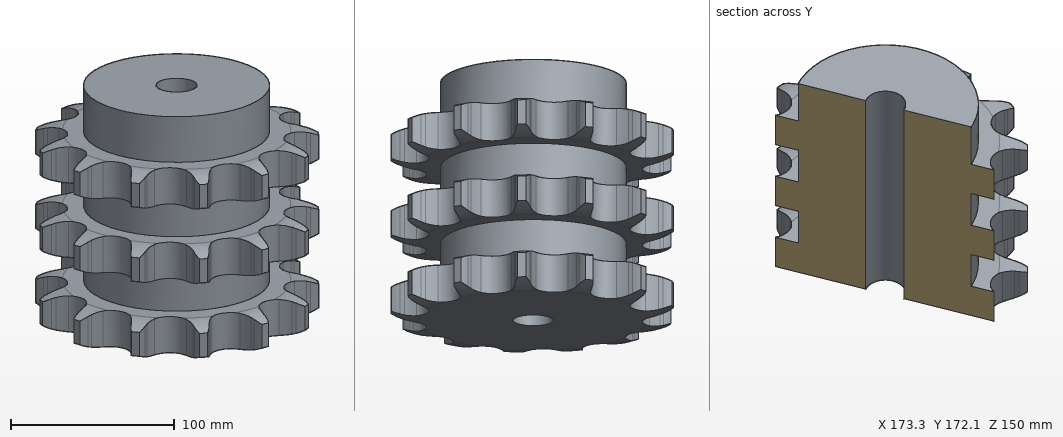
import cadquery as cq
import math


tooth_count = 13
pitch_radius = 159.2 / 2
roller_diameter = 25.3
seat_clearance = 0.1
tip_radius = 87.0

working_ratio = 0.8
topping_ratio = 1.4

strand_count = 3
strand_spacing = 48.4
rim_width = 23.6
crown_start_radius = 69.9
crown_arc_radius = 38.2

hub_diameter = 114.0
hub_height = 150.0
bore_diameter = 25.0

half_pitch_angle = math.pi / tooth_count
quarter_turn = math.pi / 2


def polar(radius, angle):
    """Point at a radius and an angle in radians, about the origin."""
    return (radius * math.cos(angle), radius * math.sin(angle))


def offset(center, radius, angle):
    """Point at a radius and an angle in radians, about a given centre."""
    x, y = polar(radius, angle)
    return (center[0] + x, center[1] + y)


def turned(point, angle):
    """Point turned about the sprocket axis."""
    x, y = point
    cos_a, sin_a = math.cos(angle), math.sin(angle)
    return (x * cos_a - y * sin_a, x * sin_a + y * cos_a)


def right_flank():
    """Flank from the root of the gap centred on +Y to the tooth tip on its right.

    Returns root, seat middle, seat end, working middle, working end, line end, topping middle, tip.
    """
    seat_center = (0, pitch_radius)
    seat_angle = math.radians(35 + 60 / tooth_count)
    working_angle = math.radians(18 - 56 / tooth_count)
    topping_angle = math.radians(17 - 64 / tooth_count)
    line_angle = seat_angle - working_angle

    seat_radius = roller_diameter / 2 + seat_clearance
    root = offset(seat_center, seat_radius, -quarter_turn)
    seat_middle = offset(seat_center, seat_radius, -(quarter_turn + seat_angle) / 2)
    seat_end = offset(seat_center, seat_radius, -seat_angle)

    working_center = offset(seat_center, working_ratio * roller_diameter, math.pi - seat_angle)
    working_radius = seat_radius + working_ratio * roller_diameter
    working_middle = offset(working_center, working_radius, -(seat_angle + line_angle) / 2)
    working_end = offset(working_center, working_radius, -line_angle)

    line_length = roller_diameter * (
        topping_ratio * math.sin(topping_angle) - working_ratio * math.sin(working_angle)
    )
    line_end = offset(working_end, line_length, quarter_turn - line_angle)

    topping_center = offset(seat_center, topping_ratio * roller_diameter, -half_pitch_angle)
    topping_radius = math.dist(topping_center, line_end)
    center_distance = math.hypot(*topping_center)
    tip_offset = math.acos(
        (center_distance**2 + tip_radius**2 - topping_radius**2) / (2 * center_distance * tip_radius)
    )
    tip = polar(tip_radius, math.atan2(topping_center[1], topping_center[0]) + tip_offset)
    chord_middle = ((line_end[0] + tip[0]) / 2, (line_end[1] + tip[1]) / 2)
    middle_angle = math.atan2(chord_middle[1] - topping_center[1], chord_middle[0] - topping_center[0])
    topping_middle = offset(topping_center, topping_radius, middle_angle)

    return root, seat_middle, seat_end, working_middle, working_end, line_end, topping_middle, tip


def toothed_plate():
    """Flat plate with the full tooth outline."""
    right = right_flank()
    left = [(-x, y) for x, y in right]
    outline = cq.Workplane("XY").moveTo(*right[0])
    for index in range(tooth_count):
        turn = -2 * half_pitch_angle * index
        next_turn = turn - 2 * half_pitch_angle
        _, seat_mid, seat_end, work_mid, work_end, line_end, top_mid, tip = (
            turned(point, turn) for point in right
        )
        tip_middle = polar(tip_radius, quarter_turn + turn - half_pitch_angle)
        outline = (
            outline.threePointArc(seat_mid, seat_end)
            .threePointArc(work_mid, work_end)
            .lineTo(*line_end)
            .threePointArc(top_mid, tip)
        )
        root, seat_mid, seat_end, work_mid, work_end, line_end, top_mid, tip = (
            turned(point, next_turn) for point in left
        )
        outline = (
            outline.threePointArc(tip_middle, tip)
            .threePointArc(top_mid, line_end)
            .lineTo(*work_end)
            .threePointArc(work_mid, seat_end)
            .threePointArc(seat_mid, root)
        )
    return outline.close().extrude(rim_width)


def crowned_disc():
    """Round disc whose faces curve inwards towards the tip circle."""
    crown_length = tip_radius - crown_start_radius

    def crown_drop(length):
        """Axial fall of the crown at a radial distance past its start."""
        return crown_arc_radius - math.sqrt(crown_arc_radius**2 - length**2)

    middle_radius = crown_start_radius + crown_length / 2
    middle_drop = crown_drop(crown_length / 2)
    tip_drop = crown_drop(crown_length)
    return (
        cq.Workplane("XZ")
        .lineTo(crown_start_radius, 0)
        .threePointArc((middle_radius, middle_drop), (tip_radius, tip_drop))
        .lineTo(tip_radius, rim_width - tip_drop)
        .threePointArc((middle_radius, rim_width - middle_drop), (crown_start_radius, rim_width))
        .lineTo(0, rim_width)
        .close()
        .revolve(360, (0, 0), (0, 1))
    )


rim = toothed_plate().intersect(crowned_disc())

body = cq.Workplane("XY").circle(hub_diameter / 2).extrude(hub_height)
for strand in range(strand_count):
    body = body.union(rim.translate((0, 0, strand * strand_spacing)))

bore = cq.Workplane("XY").circle(bore_diameter / 2).extrude(hub_height)
result = body.cut(bore)